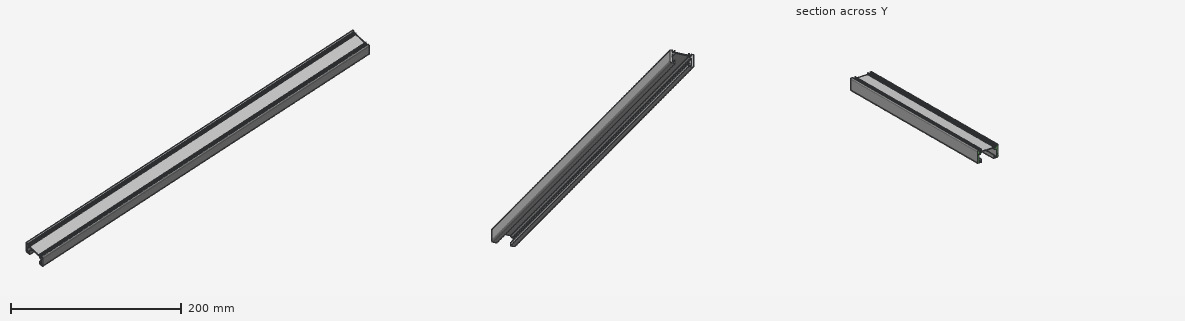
import cadquery as cq

length = 500.0
width = 31.0
height = 17.0

wall = 3.0
floor_thickness = 2.0
lip_thickness = 1.5
lip_height = 4.5
opening_width = 17.5
head_depth = 6.0
head_chamfer = 2.0

web_drop = 2.0
web_thickness = 1.5

groove_width = 3.0
groove_floor_width = 1.5
groove_step_depth = 1.5
groove_depth = 3.0

top_radius = 1.0
bottom_radius = 2.0

half_width = width / 2
half_opening = opening_width / 2
wall_inside = half_width - wall
top = height / 2
bottom = -top
web_top = top - web_drop
web_bottom = web_top - web_thickness
head_bottom = top - head_depth
groove_step = top - groove_step_depth
groove_floor = top - groove_depth
groove_inside = wall_inside - groove_width
groove_ledge = (groove_width - groove_floor_width) / 2
lip_outside = half_opening + lip_thickness
floor_top = bottom + floor_thickness
lip_radius = lip_thickness / 2
lip_top = bottom + lip_height
lip_shoulder = lip_top - lip_radius


def half_rail():
    """Extrude the +X half of the section, from the middle of the web outwards."""
    outer_side = [
        (0, web_top),
        (half_opening, web_top),
        (half_opening, top),
        (groove_inside, top),
        (groove_inside, groove_step),
        (groove_inside + groove_ledge, groove_step),
        (groove_inside + groove_ledge, groove_floor),
        (wall_inside - groove_ledge, groove_floor),
        (wall_inside - groove_ledge, groove_step),
        (wall_inside, groove_step),
        (wall_inside, top),
        (half_width, top),
        (half_width, bottom),
        (half_opening, bottom),
        (half_opening, lip_shoulder),
    ]
    inner_side = [
        (lip_outside, floor_top),
        (wall_inside, floor_top),
        (wall_inside, head_bottom),
        (half_opening + head_chamfer, head_bottom),
        (half_opening, head_bottom + head_chamfer),
        (half_opening, web_bottom),
        (0, web_bottom),
    ]
    section = cq.Workplane("XZ").polyline(outer_side)
    section = section.threePointArc((half_opening + lip_radius, lip_top), (lip_outside, lip_shoulder))
    section = section.polyline(inner_side, includeCurrent=True).close()
    rail = section.extrude(length / 2, both=True)
    rail = rail.faces(">X").edges("|Y and >Z").fillet(top_radius)
    return rail.edges("|Y and <Z").edges(">X").fillet(bottom_radius)


right_half = half_rail()
result = right_half.union(right_half.mirror("YZ")).clean()